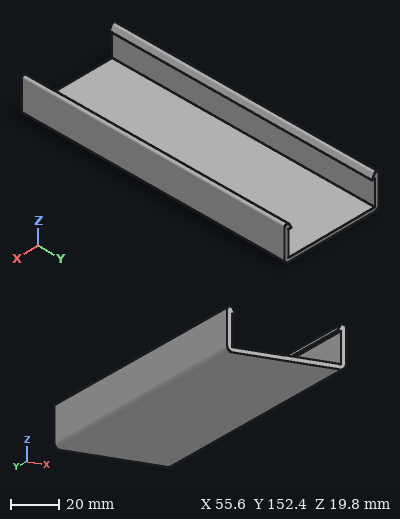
import cadquery as cq
import math

width = 55.56
length = 152.4
height = 19.84

wall = 2.38
bottom_radius = 2.54
rim_radius = wall / 2
rim_flat = 0.5
barb_reach = 4.05
barb_slope = math.radians(62)


def polar_point(center, radius, angle):
    """Point on a circle at the given angle from +X."""
    return (center[0] + radius * math.cos(angle), center[1] + radius * math.sin(angle))


def half_profile():
    """Left half of the channel cross-section in XZ, centred on X = 0 and standing on Z = 0."""
    outer_x = -width / 2
    inner_x = outer_x + wall

    bottom_center = (outer_x + bottom_radius, bottom_radius)
    rim_center = (outer_x + rim_radius, height - rim_radius)
    nose_center = (rim_center[0] + rim_flat, rim_center[1])

    nose_end_angle = math.pi / 2 - barb_slope
    nose_mid_angle = (math.pi / 2 + nose_end_angle) / 2
    nose_end = polar_point(nose_center, rim_radius, nose_end_angle)

    tip_x = outer_x + barb_reach
    tip_z = nose_end[1] - (tip_x - nose_end[0]) * math.tan(barb_slope)

    return (
        cq.Workplane("XZ")
        .moveTo(0, 0)
        .lineTo(bottom_center[0], 0)
        .threePointArc(
            polar_point(bottom_center, bottom_radius, math.radians(225)),
            (outer_x, bottom_center[1]),
        )
        .lineTo(outer_x, rim_center[1])
        .threePointArc(
            polar_point(rim_center, rim_radius, math.radians(135)),
            (rim_center[0], height),
        )
        .lineTo(nose_center[0], height)
        .threePointArc(polar_point(nose_center, rim_radius, nose_mid_angle), nose_end)
        .lineTo(tip_x, tip_z)
        .lineTo(inner_x, tip_z)
        .lineTo(inner_x, wall)
        .lineTo(0, wall)
        .close()
    )


left_half = half_profile().extrude(length / 2, both=True)
result = left_half.union(left_half.mirror("YZ")).clean()